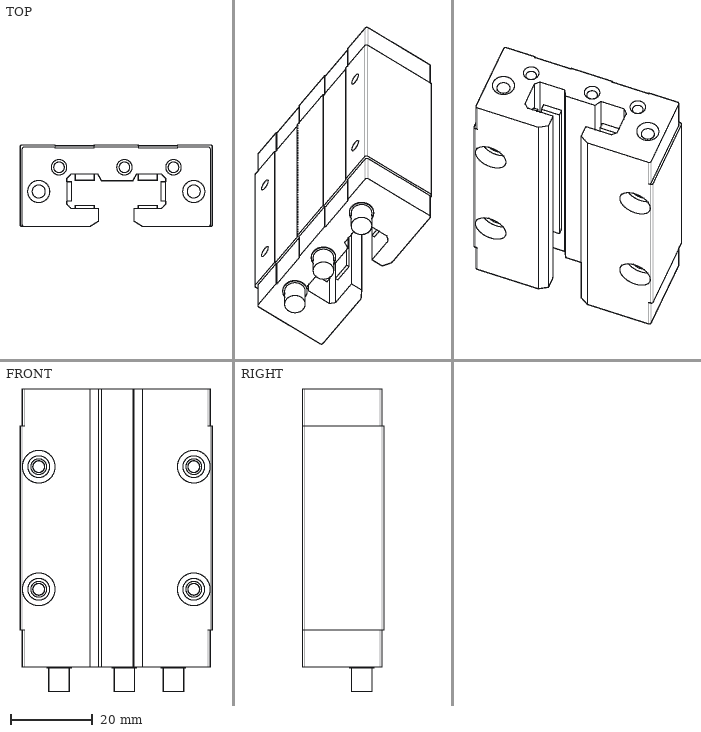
import cadquery as cq

length = 74.0
width = 47.0
depth = 20.0

pin_length = 6.0
body_length = length - pin_length
end_length = 9.0
middle_length = body_length - 2 * end_length
end_inset = 0.5
edge_radius = 0.5

recess_inner_x = 5.4
recess_outer_x = 14.95
recess_depth = 0.2

slot_half_opening = 4.3
slot_flare_half_width = 6.45
slot_flare_depth = 1.3
lip_thickness = 4.45
cavity_half_width = 12.05
cavity_top = 12.8
cavity_chamfer = 1.0
rib_bottom = 11.2
rib_half_bottom = 3.85
rib_half_root = 4.7
rib_center_x = 0.2

strip_width = 4.7
top_strip_thickness = 1.5
side_strip_thickness = 1.2
lip_strip_thickness = 0.75
strip_offset = 7.7

mount_x = 18.95
mount_spacing = 30.0
counterbore_diameter = 8.0
counterbore_depth = 3.9
mount_countersink_diameter = 5.3
mount_countersink_end_diameter = 3.85
mount_countersink_depth = 0.75
mount_hole_diameter = 2.8

corner_hole_y = 8.6
corner_hole_diameter = 3.2
corner_countersink_diameter = 5.4
port_x_positions = (-14.0, 2.0, 14.0)
port_y = 14.5
port_hole_diameter = 2.6
port_countersink_diameter = 3.8
end_countersink_depth = 1.0
end_hole_depth = 8.0

pin_diameter = 5.0
collar_diameter = 6.0
collar_height = 0.2


def rounded_block(block_width, block_depth, bottom, height):
    """Block standing on z = bottom with its front at y = 0, rounded upright edges and a recessed back."""
    block = (
        cq.Workplane("XY", origin=(0, block_depth / 2, bottom))
        .rect(block_width, block_depth)
        .extrude(height)
        .edges("|Z")
        .fillet(edge_radius)
    )
    recess_middle = (recess_inner_x + recess_outer_x) / 2
    recesses = (
        cq.Workplane("XY", origin=(0, block_depth, bottom))
        .pushPoints([(-recess_middle, 0), (recess_middle, 0)])
        .rect(recess_outer_x - recess_inner_x, 2 * recess_depth)
        .extrude(height)
    )
    return block.cut(recesses)


def make_body():
    """Middle block with an end block below and above, all flush at the front."""
    body = rounded_block(width, depth, end_length, middle_length)
    for bottom in (0, end_length + middle_length):
        body = body.union(rounded_block(width - 2 * end_inset, depth - end_inset, bottom, end_length))
    return body


def make_slot():
    """T-shaped slot cutter; the rib hanging from the cavity roof sits slightly off centre."""
    right_wall = [
        (slot_flare_half_width, 0),
        (slot_half_opening, slot_flare_depth),
        (slot_half_opening, lip_thickness),
        (cavity_half_width - cavity_chamfer, lip_thickness),
        (cavity_half_width, lip_thickness + cavity_chamfer),
        (cavity_half_width, cavity_top - cavity_chamfer),
        (cavity_half_width - cavity_chamfer, cavity_top),
    ]
    rib = [
        (rib_center_x + rib_half_root, cavity_top),
        (rib_center_x + rib_half_bottom, rib_bottom),
        (rib_center_x - rib_half_bottom, rib_bottom),
        (rib_center_x - rib_half_root, cavity_top),
    ]
    left_wall = [(-x, y) for x, y in reversed(right_wall)]
    return cq.Workplane("XY").polyline(right_wall + rib + left_wall).close().extrude(body_length)


def make_strip(x_min, x_max, y_min, y_max):
    """Strip as long as the middle block, level with it."""
    return (
        cq.Workplane("XY", origin=(x_min, y_min, end_length))
        .box(x_max - x_min, y_max - y_min, middle_length, centered=False)
    )


def make_strips():
    half = strip_width / 2
    middle_y = (lip_thickness + cavity_top) / 2
    near, far = strip_offset - half, strip_offset + half
    top = make_strip(near, far, cavity_top - top_strip_thickness, cavity_top)
    lip = make_strip(near, far, lip_thickness, lip_thickness + lip_strip_thickness)
    side = make_strip(
        cavity_half_width - side_strip_thickness, cavity_half_width, middle_y - half, middle_y + half
    )
    right = top.union(lip).union(side)
    return right.union(right.mirror("YZ"))


def countersink(mouth_diameter, end_diameter, sink_depth):
    """Tapered cutter with its mouth at z = 0, narrowing down -Z."""
    profile = [
        (0, 0),
        (mouth_diameter / 2, 0),
        (end_diameter / 2, -sink_depth),
        (0, -sink_depth),
    ]
    return cq.Workplane("XZ").polyline(profile).close().revolve(360, (0, 0), (0, 1))


def drill(diameter, hole_depth):
    """Straight cutter from z = 0 down -Z."""
    return cq.Workplane("XY").circle(diameter / 2).extrude(-hole_depth)


def cut_end_holes(body):
    """Countersunk blind holes in the top end: two corner holes and three above the pins."""
    corner = drill(corner_hole_diameter, end_hole_depth).union(
        countersink(corner_countersink_diameter, corner_hole_diameter, end_countersink_depth)
    )
    port = drill(port_hole_diameter, end_hole_depth).union(
        countersink(port_countersink_diameter, port_hole_diameter, end_countersink_depth)
    )
    for x in (-mount_x, mount_x):
        body = body.cut(corner.translate((x, corner_hole_y, body_length)))
    for x in port_x_positions:
        body = body.cut(port.translate((x, port_y, body_length)))
    return body


def cut_mounting_holes(body):
    """Four through holes from the front, each counterbored with a countersink in the counterbore floor."""
    sink = countersink(
        mount_countersink_diameter, mount_countersink_end_diameter, mount_countersink_depth
    ).translate((0, 0, -counterbore_depth))
    counterbore = drill(counterbore_diameter, counterbore_depth)
    cutter = drill(mount_hole_diameter, depth).union(counterbore).union(sink)
    cutter = cutter.rotate((0, 0, 0), (1, 0, 0), 90)
    for x in (-mount_x, mount_x):
        for side in (-1, 1):
            z = body_length / 2 + side * mount_spacing / 2
            body = body.cut(cutter.translate((x, 0, z)))
    return body


def add_pins(body):
    for x in port_x_positions:
        base = cq.Workplane("XY", origin=(x, port_y, 0))
        collar = base.circle(collar_diameter / 2).extrude(-collar_height)
        pin = base.circle(pin_diameter / 2).extrude(-pin_length)
        body = body.union(collar).union(pin)
    return body


result = make_body().cut(make_slot()).union(make_strips())
result = add_pins(cut_mounting_holes(cut_end_holes(result)))